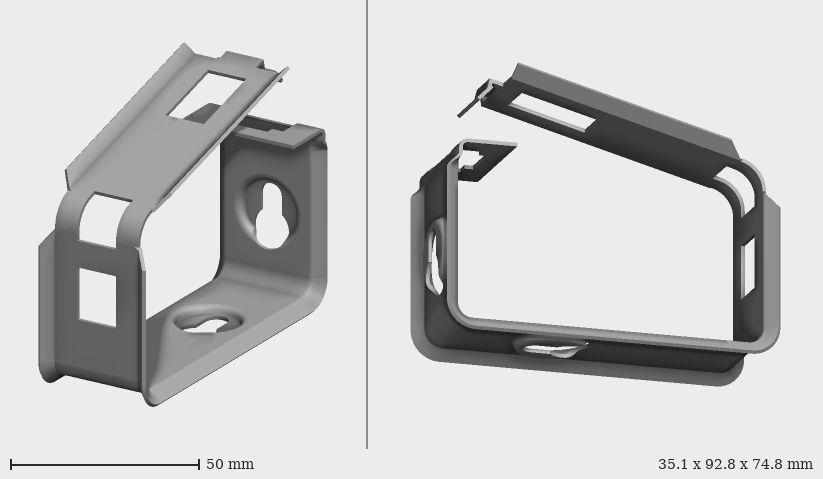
import cadquery as cq
import math

sheet = 1.0
fold_radius = 0.3
web_half = 13.0
flange_angle = 45.0
flange_length = 4.1

total_length = 92.8
corner_radius = 4.0
hinge_height = 46.1
hinge_radius = 8.0
lid_slope = 15.0
lid_length = 66.3
relief = 4.6

flange_end_height = 44.35
ear_height = 48.3
ear_half = 17.5
flatten_steps = 8
latch_height = 52.1
latch_radius = 1.5
latch_length = 16.1
slot_half = 9.9
slot_bottom = 50.4
slot_depth = 9.0
notch_half = 6.5
notch_depth = 2.4

window_half = 6.0
wall_window_low = 21.5
wall_window_high = 36.5
lid_window_start = 39.0
lid_window_length = 22.0
hinge_window_reach = 2.0

tongue_half = 5.75
tongue_length = 4.0
hook_drop = 2.9
hook_half = 9.1
hook_lip_length = 5.4
hook_lip_angle = 30.0

seat_radius = 10.6
seat_depth = 2.0
seat_fold = 0.7
seat_slope = 60.0
key_radius = 5.5
key_slot_radius = 3.25
key_offset = -5.5
key_slot_offset = 4.1
floor_seat_y = 12.7
wall_seat_z = 24.5

outer_fold = fold_radius + sheet
flare_sin = math.sin(math.radians(flange_angle))
flare_cos = math.cos(math.radians(flange_angle))
flange_depth = outer_fold - fold_radius * flare_cos + flange_length * flare_sin
wall_inner = total_length / 2 - flange_depth
wall_outer = wall_inner + sheet
corner_y = wall_inner - corner_radius
corner_z = flange_depth + corner_radius
hinge_outer = hinge_radius + sheet
hinge_y = -wall_inner + hinge_radius

fold_setback = (fold_radius + sheet / 2) * math.tan(math.radians(flange_angle) / 2)
kink = web_half + fold_setback
flap_flared = flange_length + fold_setback

slope_sin = math.sin(math.radians(lid_slope))
slope_cos = math.cos(math.radians(lid_slope))
lid_origin = (0, hinge_y - hinge_radius * slope_sin, hinge_height + hinge_radius * slope_cos)
up_lid = (0, slope_cos, slope_sin)
down_lid = (0, -slope_cos, -slope_sin)
lid_outward = (0, -slope_sin, slope_cos)
lid_end = tuple(start + lid_length * step for start, step in zip(lid_origin, up_lid))
lid_side = cq.Plane(origin=lid_origin, xDir=up_lid, normal=(1, 0, 0))


def box(x_half, y_range, z_range):
    """Box centred on X between two Y and two Z values."""
    return cq.Workplane("XY").box(
        2 * x_half, y_range[1] - y_range[0], z_range[1] - z_range[0], centered=(True, False, False)
    ).translate((0, y_range[0], z_range[0]))


def channel_section(plane):
    """Web with two flared flanges; local y = 0 is the inner face, +y is outward."""
    def on_fold(side, radius, angle):
        turn = math.radians(angle)
        return side * (web_half + radius * math.sin(turn)), outer_fold - radius * math.cos(turn)

    def flange_tip(side, radius):
        x, y = on_fold(side, radius, flange_angle)
        return x + side * flange_length * flare_cos, y + flange_length * flare_sin

    half_turn = flange_angle / 2
    outline = cq.Workplane(plane).moveTo(-web_half, 0).lineTo(web_half, 0)
    outline = outline.threePointArc(on_fold(1, outer_fold, half_turn), on_fold(1, outer_fold, flange_angle))
    outline = outline.lineTo(*flange_tip(1, outer_fold)).lineTo(*flange_tip(1, fold_radius))
    outline = outline.lineTo(*on_fold(1, fold_radius, flange_angle))
    outline = outline.threePointArc(on_fold(1, fold_radius, half_turn), (web_half, sheet))
    outline = outline.lineTo(-web_half, sheet)
    outline = outline.threePointArc(on_fold(-1, fold_radius, half_turn), on_fold(-1, fold_radius, flange_angle))
    outline = outline.lineTo(*flange_tip(-1, fold_radius)).lineTo(*flange_tip(-1, outer_fold))
    outline = outline.lineTo(*on_fold(-1, outer_fold, flange_angle))
    return outline.threePointArc(on_fold(-1, outer_fold, half_turn), (-web_half, 0)).close()


def sharp_flap(turn, flap):
    """Outline of the +X flange folded sharply by the given turn, in radians."""
    half_sheet = sheet / 2
    tip_x = kink + flap * math.cos(turn)
    tip_y = half_sheet + flap * math.sin(turn)
    edge_x = half_sheet * math.sin(turn)
    edge_y = half_sheet * math.cos(turn)
    shift = half_sheet * math.tan(turn / 2)
    return [
        (kink + shift, 0),
        (tip_x + edge_x, tip_y - edge_y),
        (tip_x - edge_x, tip_y + edge_y),
        (kink - shift, sheet),
    ]


def channel(origin, direction, length):
    """Straight run of the channel from the origin."""
    plane = cq.Plane(origin=origin, xDir=(1, 0, 0), normal=direction)
    return channel_section(plane).extrude(length)


def corner(origin, direction):
    """Quarter turn of the channel, leaving the origin in the given direction."""
    plane = cq.Plane(origin=origin, xDir=(1, 0, 0), normal=direction)
    return channel_section(plane).revolve(90, (0, -corner_radius), (1, -corner_radius))


def relief_cutters(origin, away, outward):
    """Wedges that trim both flanges at 45 degrees, starting at the hinge line."""
    cutters = cq.Workplane("XY")
    for side in (-1, 1):
        across = cq.Vector(side * flare_cos, 0, 0) + cq.Vector(*outward) * flare_sin
        start = cq.Vector(*origin) + cq.Vector(side * web_half, 0, 0)
        plane = cq.Plane(origin=start, xDir=across, normal=across.cross(cq.Vector(*away)))
        wedge = cq.Workplane(plane).polyline([(0, 0), (2 * relief, 0), (2 * relief, 2 * relief)]).close()
        cutters = cutters.add(wedge.extrude(2 * sheet, both=True))
    return cutters.combine()


def flap_section(side, step):
    """Section of one flange between flared (step 0) and flat (last step)."""
    progress = step / flatten_steps
    turn = math.radians(flange_angle) * (1 + math.cos(math.pi * progress)) / 2
    flap = flap_flared + math.sin(math.pi / 2 * progress) * (ear_half - kink - flap_flared)
    points = [(web_half, 0)] + sharp_flap(turn, flap) + [(web_half, sheet)]
    height = flange_end_height + progress * (ear_height - flange_end_height)
    corners = [cq.Vector(side * x, wall_inner + y, height) for x, y in points]
    return cq.Wire.makePolygon(corners, close=True)


def flattening():
    """Flat web with the two flanges opening out into the ears."""
    zone = box(web_half, (wall_inner, wall_outer), (flange_end_height, ear_height))
    for side in (-1, 1):
        sections = [flap_section(side, step) for step in range(flatten_steps + 1)]
        zone = zone.union(cq.Workplane(cq.Solid.makeLoft(sections)))
    return zone


def latch_plate():
    """Flat wall above the flanges, bent forward and cut by the stepped slot."""
    bend_y = wall_inner - latch_radius
    bend_z = latch_height - sheet - latch_radius
    outer = latch_radius + sheet
    diagonal = math.sqrt(0.5)
    edge_y = wall_outer - latch_length
    plate = (
        cq.Workplane("YZ")
        .moveTo(wall_inner, ear_height)
        .lineTo(wall_outer, ear_height)
        .lineTo(wall_outer, bend_z)
        .threePointArc((bend_y + outer * diagonal, bend_z + outer * diagonal), (bend_y, latch_height))
        .lineTo(edge_y, latch_height)
        .lineTo(edge_y, latch_height - sheet)
        .lineTo(bend_y, latch_height - sheet)
        .threePointArc(
            (bend_y + latch_radius * diagonal, bend_z + latch_radius * diagonal), (wall_inner, bend_z)
        )
        .close()
        .extrude(ear_half, both=True)
    )
    slot_y = wall_outer - slot_depth
    slot = box(slot_half, (slot_y, wall_outer), (slot_bottom, latch_height))
    notch = box(notch_half, (slot_y - notch_depth, slot_y), (slot_bottom, latch_height))
    return plate.cut(slot).cut(notch)


def hinge_bend(half_width):
    """Curved sheet from the front wall round to the lid."""
    turn = 90 - lid_slope

    def on_hinge(radius, angle):
        swing = math.radians(angle)
        return hinge_y - radius * math.cos(swing), hinge_height + radius * math.sin(swing)

    return (
        cq.Workplane("YZ")
        .moveTo(*on_hinge(hinge_radius, 0))
        .threePointArc(on_hinge(hinge_radius, turn / 2), on_hinge(hinge_radius, turn))
        .lineTo(*on_hinge(hinge_outer, turn))
        .threePointArc(on_hinge(hinge_outer, turn / 2), on_hinge(hinge_outer, 0))
        .close()
        .extrude(half_width, both=True)
    )


def lid_panel():
    """Lid with sharply folded flanges, extruded from its free end to the hinge."""
    flange = sharp_flap(math.radians(flange_angle), flap_flared)
    outline = flange + [(-x, y) for x, y in reversed(flange)]
    plane = cq.Plane(origin=lid_end, xDir=(1, 0, 0), normal=down_lid)
    panel = cq.Workplane(plane).polyline(outline).close().extrude(lid_length)
    return panel.cut(relief_cutters(lid_origin, up_lid, lid_outward))


def hook():
    """Tongue, leg and wider leaning lip, drawn in the lid side plane."""
    lean = math.radians(hook_lip_angle)
    leg = lid_length + tongue_length
    knee = (leg, sheet - hook_drop)

    def from_knee(along, inward):
        return (
            knee[0] + along * math.sin(lean) - inward * math.cos(lean),
            knee[1] - along * math.cos(lean) - inward * math.sin(lean),
        )

    inner_knee = (leg - sheet, knee[1] - sheet * math.tan(lean / 2))
    arm = [(lid_length - sheet, 0), (lid_length - sheet, sheet), (leg, sheet), knee]
    arm += [from_knee(0, sheet), inner_knee, (leg - sheet, 0)]
    lip = [knee, from_knee(hook_lip_length, 0), from_knee(hook_lip_length, sheet), from_knee(0, sheet)]
    arm_solid = cq.Workplane(lid_side).polyline(arm).close().extrude(tongue_half, both=True)
    lip_solid = cq.Workplane(lid_side).polyline(lip).close().extrude(hook_half, both=True)
    return arm_solid.union(lip_solid)


def lid_window(start, length):
    """Cutter through the lid, placed by its distance from the hinge."""
    return (
        cq.Workplane(lid_side)
        .rect(length, 4 * sheet)
        .extrude(window_half, both=True)
        .translate(lid_side.xDir * (start + length / 2))
    )


def hinge_window():
    """Opening between the hinge strips, reaching into the wall and the lid."""
    wall_reach = (hinge_height - hinge_window_reach, hinge_height)
    wall_part = box(window_half, (-wall_outer, -wall_inner), wall_reach)
    return wall_part.union(hinge_bend(window_half)).union(lid_window(0, hinge_window_reach))


def seat_shell():
    """Dished disc about local Z; z = 0 is the inner wall face, +z is outward."""
    slope = math.radians(seat_slope)
    outer_bend = seat_fold + sheet
    radii_sum = outer_bend + seat_fold
    flank = (seat_depth - radii_sum * (1 - math.cos(slope))) / math.sin(slope)
    base_radius = seat_radius - radii_sum * math.sin(slope) - flank * math.cos(slope)
    base_center = seat_depth - seat_fold

    def on_rim(radius, angle):
        return seat_radius - radius * math.sin(angle), outer_bend - radius * math.cos(angle)

    def on_base(radius, angle):
        return base_radius + radius * math.sin(angle), base_center + radius * math.cos(angle)

    return (
        cq.Workplane("XZ")
        .moveTo(0, seat_depth)
        .lineTo(base_radius, seat_depth)
        .threePointArc(on_base(seat_fold, slope / 2), on_base(seat_fold, slope))
        .lineTo(*on_rim(outer_bend, slope))
        .threePointArc(on_rim(outer_bend, slope / 2), on_rim(outer_bend, 0))
        .lineTo(*on_rim(seat_fold, 0))
        .threePointArc(on_rim(seat_fold, slope / 2), on_rim(seat_fold, slope))
        .lineTo(*on_base(outer_bend, slope))
        .threePointArc(on_base(outer_bend, slope / 2), on_base(outer_bend, 0))
        .lineTo(0, seat_depth + sheet)
        .close()
        .revolve(360, (0, 0), (0, 1))
    )


def keyhole():
    """Keyhole cutter in the seat frame, slot towards local +Y."""
    height = seat_depth + 2 * sheet
    circle = cq.Workplane("XY").center(0, key_offset).circle(key_radius).extrude(height)
    slot_end = cq.Workplane("XY").center(0, key_slot_offset).circle(key_slot_radius).extrude(height)
    neck_length = key_slot_offset - key_offset
    neck = cq.Workplane("XY").center(0, key_offset + neck_length / 2)
    neck = neck.rect(2 * key_slot_radius, neck_length).extrude(height)
    return circle.union(slot_end).union(neck)


def add_keyhole_seat(body, origin, outward):
    """Replace a disc of the wall by a dished seat and pierce its keyhole."""
    place = cq.Location(cq.Plane(origin=origin, xDir=(-1, 0, 0), normal=outward))
    opening = cq.Workplane("XY").circle(seat_radius).extrude(sheet)
    body = body.cut(cq.Workplane(opening.val().moved(place)))
    body = body.union(cq.Workplane(seat_shell().val().moved(place)))
    return body.cut(cq.Workplane(keyhole().val().moved(place)))


hinge_line = (0, -wall_inner, hinge_height)

lid = lid_panel()
front_wall = channel(hinge_line, (0, 0, -1), hinge_height - corner_z)
front_wall = front_wall.cut(relief_cutters(hinge_line, (0, 0, -1), (0, -1, 0)))
front_corner = corner((0, -wall_inner, corner_z), (0, 0, -1))
floor = channel((0, -corner_y, flange_depth), (0, 1, 0), 2 * corner_y)
back_corner = corner((0, corner_y, flange_depth), (0, 1, 0))
back_wall = channel((0, wall_inner, corner_z), (0, 0, 1), flange_end_height - corner_z)

body = floor
for piece in (
    front_corner, back_corner, front_wall, back_wall,
    flattening(), latch_plate(), hinge_bend(web_half), lid, hook(),
):
    body = body.union(piece)

body = body.cut(box(window_half, (-wall_outer, -wall_inner), (wall_window_low, wall_window_high)))
body = body.cut(hinge_window())
body = body.cut(lid_window(lid_window_start, lid_window_length))
body = add_keyhole_seat(body, (0, floor_seat_y, flange_depth), (0, 0, -1))
body = add_keyhole_seat(body, (0, wall_inner, wall_seat_z), (0, 1, 0))

result = body